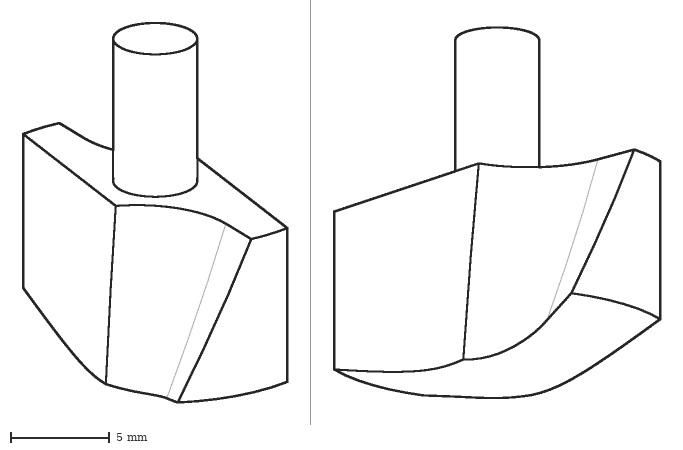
import cadquery as cq

total_height = 19.1
head_diameter = 18.6
head_thickness = 6.57
head_top = 11.27
tip_height = 2.8
shank_diameter = 4.3

lip_angle = 6.0
lip_inner_radius = 6.84
root_radius = 5.35
lip_drop_angle = 24.7

head_radius = head_diameter / 2
clearance = head_radius + 3.82
twist = lip_drop_angle * head_top / (head_top - tip_height)


def make_head():
    """Cylinder with a conical point, flattened to a blade."""
    pointed_cylinder = (
        cq.Workplane("XZ")
        .moveTo(0, 0)
        .lineTo(head_radius, tip_height)
        .lineTo(head_radius, head_top)
        .lineTo(0, head_top)
        .close()
        .revolve(360, (0, 0, 0), (0, 1, 0))
    )
    blade = cq.Workplane("XY").box(
        head_diameter, head_thickness, head_top, centered=(True, True, False)
    )
    return pointed_cylinder.intersect(blade)


def make_flute(side_angle):
    """Twisted cutter: a straight radial lip running into a quarter-round root."""
    root_x = lip_inner_radius - root_radius
    cutter = (
        cq.Workplane("XY")
        .moveTo(clearance, 0)
        .lineTo(lip_inner_radius, 0)
        .tangentArcPoint((root_x, -root_radius), relative=False)
        .lineTo(root_x, -clearance)
        .lineTo(clearance, -clearance)
        .close()
        .twistExtrude(head_top, twist)
    )
    return cutter.rotate((0, 0, 0), (0, 0, 1), side_angle + lip_angle - twist)


head = make_head()
for side_angle in (0, 180):
    head = head.cut(make_flute(side_angle))

shank = (
    cq.Workplane("XY", origin=(0, 0, head_top))
    .circle(shank_diameter / 2)
    .extrude(total_height - head_top)
)

result = head.union(shank)